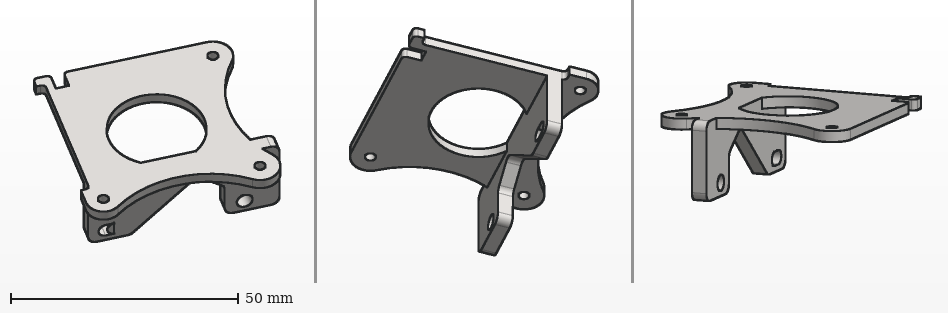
import cadquery as cq
import math

plate_thickness = 2.5
screw_offset = 18.0
screw_diameter = 2.4
lobe_radius = 4.5
small_lobe_radius = 4.0
scallop_radius = 25.5
corner_radius = 1.0

left_x = -screw_offset - lobe_radius
front_y = -screw_offset - small_lobe_radius

lens_x = 0.5
lens_y = -0.5
lens_radius = 11.0

side_slot_depth = 4.3
side_slot_front_y = -18.0
side_slot_back_y = -15.0

step_left_x = -20.0
step_right_x = 14.0
step_y = -20.0

bracket_x = 9.5
bracket_thickness = 3.5
bracket_far_x = bracket_x + bracket_thickness
bracket_back_y = 24.0
bracket_front_y = step_y
bracket_drop = 15.5
bracket_bottom_z = -bracket_drop
bracket_corner_radius = 2.0

back_leg_y = 11.4
notch_shoulder_height = 8.75
notch_shoulder_z = bracket_bottom_z + notch_shoulder_height
notch_peak_y = 5.0
notch_peak_height = 13.55
notch_peak_z = bracket_bottom_z + notch_peak_height
front_leg_y = -10.25

bracket_hole_height = 3.0
bracket_hole_z = bracket_bottom_z + bracket_hole_height
pivot_y = 16.0
pivot_diameter = 3.6
slot_width = 3.2
slot_back_y = -14.0
slot_front_y = -16.0
slot_web_thickness = 0.1

pick_margin = 0.01


def circle_cutter(x, y, radius):
    """Upright cylinder through the full plate thickness."""
    return cq.Workplane("XY").center(x, y).circle(radius).extrude(plate_thickness)


def tangent_point(lobe_x, lobe_y, lobe, scallop_x, scallop_y):
    """Point where a corner lobe runs into a scallop."""
    share = lobe / (lobe + scallop_radius)
    return (lobe_x + share * (scallop_x - lobe_x), lobe_y + share * (scallop_y - lobe_y))


def plate_outline():
    """Plate with three round lobes joined by two tangent scallops."""
    s = screw_offset
    big_reach = scallop_radius + lobe_radius
    small_reach = scallop_radius + small_lobe_radius

    back_y = s + math.sqrt(big_reach**2 - s**2)
    right_y = (small_reach**2 - big_reach**2) / (4 * s)
    right_x = s + math.sqrt(big_reach**2 - (s - right_y) ** 2)

    diagonal = lobe_radius * math.sqrt(0.5)
    small_diagonal = small_lobe_radius * math.sqrt(0.5)
    return (
        cq.Workplane("XY")
        .moveTo(left_x, front_y)
        .lineTo(s, front_y)
        .threePointArc(
            (s + small_diagonal, -s - small_diagonal),
            tangent_point(s, -s, small_lobe_radius, right_x, right_y),
        )
        .threePointArc(
            (right_x - scallop_radius, right_y),
            tangent_point(s, s, lobe_radius, right_x, right_y),
        )
        .threePointArc(
            (s + diagonal, s + diagonal),
            tangent_point(s, s, lobe_radius, 0, back_y),
        )
        .threePointArc(
            (0, back_y - scallop_radius),
            tangent_point(-s, s, lobe_radius, 0, back_y),
        )
        .threePointArc((-s - diagonal, s + diagonal), (left_x, s))
        .close()
        .extrude(plate_thickness)
    )


def lens_cutter():
    """Round opening with one flat side along the bracket."""
    opening_left_x = lens_x - lens_radius
    flat_limit = cq.Workplane("XY").box(
        bracket_x - opening_left_x, 2 * lens_radius, plate_thickness, centered=(False, True, False)
    ).translate((opening_left_x, lens_y, 0))
    return circle_cutter(lens_x, lens_y, lens_radius).intersect(flat_limit)


def side_slot_cutter():
    """Narrow slot running in from the left edge."""
    return cq.Workplane("XY").box(
        side_slot_depth, side_slot_back_y - side_slot_front_y, plate_thickness, centered=False
    ).translate((left_x, side_slot_front_y, 0))


def front_step_cutter():
    """Front step with its two inner corners rounded."""
    step = cq.Workplane("XY").box(
        step_right_x - step_left_x, step_y - front_y, plate_thickness, centered=False
    ).translate((step_left_x, front_y, 0))
    return step.edges("|Z and >Y").fillet(corner_radius)


def left_edge_corners():
    """Selector for the upright edges to round along the left side of the plate."""
    selector = None
    for y in [front_y, side_slot_front_y, side_slot_back_y]:
        corner = cq.selectors.BoxSelector(
            (left_x - pick_margin, y - pick_margin, 0),
            (left_x + pick_margin, y + pick_margin, plate_thickness),
        )
        selector = corner if selector is None else selector + corner
    return selector


def make_plate():
    """Plate with its openings, rounded corners and three screw holes."""
    plate = plate_outline().cut(lens_cutter()).cut(side_slot_cutter())
    plate = plate.edges("|Z").edges(left_edge_corners()).fillet(corner_radius)
    plate = plate.cut(front_step_cutter())
    for x_side, y_side in [(-1, 1), (1, 1), (1, -1)]:
        plate = plate.cut(circle_cutter(x_side * screw_offset, y_side * screw_offset, screw_diameter / 2))
    return plate


def bracket_cylinder(y, radius, start_x, length):
    """Cylinder along X at the height of the bracket holes."""
    return cq.Workplane("YZ", origin=(start_x, y, bracket_hole_z)).circle(radius).extrude(length)


def slot_ramp_cutter():
    """Back end of the slot, tapering from a half round on the left face to a straight edge on the right."""
    radius = slot_width / 2
    near_top = cq.Vector(bracket_x, slot_back_y, bracket_hole_z + radius)
    near_end = cq.Vector(bracket_x, slot_back_y + radius, bracket_hole_z)
    near_bottom = cq.Vector(bracket_x, slot_back_y, bracket_hole_z - radius)
    far_top = cq.Vector(bracket_far_x, slot_back_y, bracket_hole_z + radius)
    far_bottom = cq.Vector(bracket_far_x, slot_back_y, bracket_hole_z - radius)

    half_round = cq.Edge.makeThreePointArc(near_top, near_end, near_bottom)
    diameter_line = cq.Edge.makeLine(near_bottom, near_top)
    ramp = cq.Face.makeRuledSurface(half_round, cq.Edge.makeLine(far_top, far_bottom))
    mouth = cq.Face.makeFromWires(cq.Wire.assembleEdges([half_round, diameter_line]))
    side_corners = [near_top, near_bottom, far_bottom, far_top]
    side = cq.Face.makeFromWires(cq.Wire.makePolygon(side_corners, close=True))
    return cq.Workplane(cq.Solid.makeSolid(cq.Shell.makeShell([ramp, mouth, side])))


def slot_cutter():
    """Adjusting slot with a ramped back end and a thin half-round web closing part of its far side."""
    radius = slot_width / 2
    straight = cq.Workplane("XY").box(
        bracket_thickness, slot_back_y - slot_front_y, slot_width, centered=(False, False, True)
    ).translate((bracket_x, slot_front_y, bracket_hole_z))
    front_end = bracket_cylinder(slot_front_y, radius, bracket_x, bracket_thickness)
    web = bracket_cylinder(slot_back_y, radius, bracket_far_x - slot_web_thickness, slot_web_thickness)
    return straight.union(front_end).union(slot_ramp_cutter()).cut(web)


def make_bracket():
    """Two-legged wall with rounded corners, a pivot hole and an adjusting slot."""
    wall = (
        cq.Workplane("YZ", origin=(bracket_x, 0, 0))
        .moveTo(bracket_front_y, plate_thickness)
        .lineTo(bracket_front_y, bracket_bottom_z)
        .lineTo(front_leg_y, bracket_bottom_z)
        .lineTo(notch_peak_y, notch_peak_z)
        .lineTo(back_leg_y, notch_shoulder_z)
        .lineTo(back_leg_y, bracket_bottom_z)
        .lineTo(bracket_back_y, bracket_bottom_z)
        .lineTo(bracket_back_y, plate_thickness)
        .close()
        .extrude(bracket_thickness)
    )
    square_corner = cq.selectors.BoxSelector(
        (bracket_x, bracket_front_y - pick_margin, plate_thickness - pick_margin),
        (bracket_far_x, bracket_front_y + pick_margin, plate_thickness + pick_margin),
    )
    wall = wall.edges(cq.selectors.StringSyntaxSelector("|X") - square_corner).fillet(bracket_corner_radius)
    pivot = bracket_cylinder(pivot_y, pivot_diameter / 2, bracket_x, bracket_thickness)
    return wall.cut(pivot).cut(slot_cutter())


result = cq.Workplane(make_plate().union(make_bracket()).solids().val())